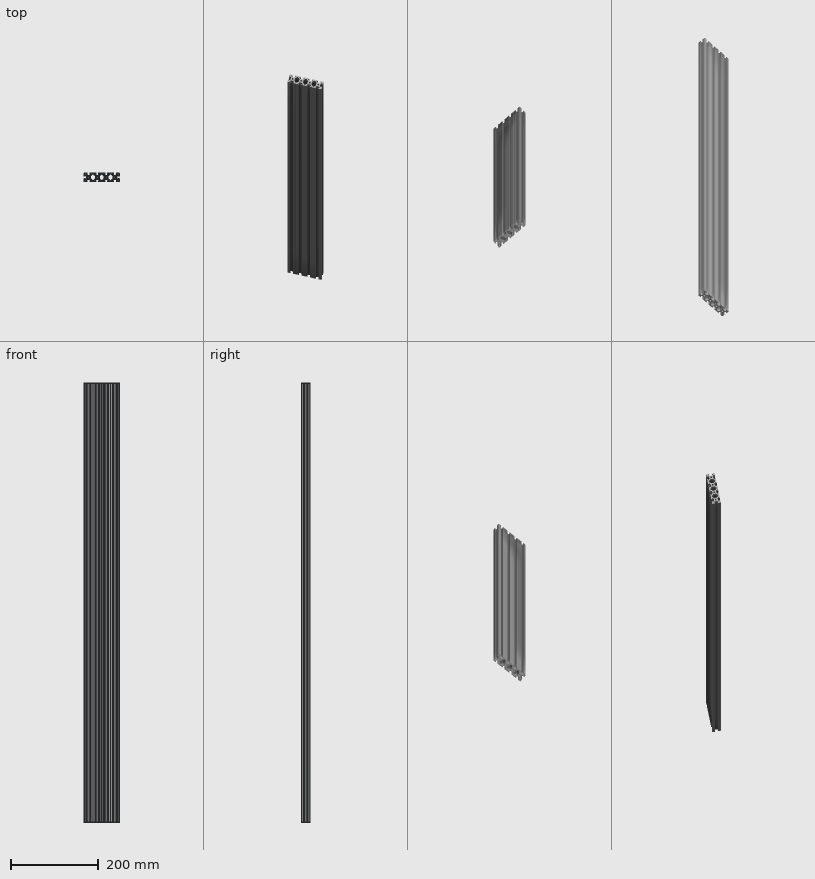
import cadquery as cq

CELL = 20.0
CELL_COUNT = 4
LENGTH = 1000.0
WIDTH = CELL * CELL_COUNT
HALF_CELL = CELL / 2
EDGE_RADIUS = 1.5
FLIP = 180.0
QUARTER_TURN = 90.0

MOUTH_WIDTH = 6.2
MOUTH_CHAMFER = 0.3
LIP_THICKNESS = 2.0
CAVITY_WIDTH = 11.0
SLOT_DEPTH = 5.5
FLOOR_WIDTH = 5.2
FLOOR_RADIUS = 2.0

BORE_DIAMETER = 4.2
WALL_THICKNESS = 2.8
WEB_THICKNESS = 2.5
CORE_WIDTH = 9.5

GROOVE_WIDTH = 0.8
GROOVE_DEPTH = 0.4

CELL_CENTRES = [(i - (CELL_COUNT - 1) / 2) * CELL for i in range(CELL_COUNT)]
CELL_JOINTS = [(i - CELL_COUNT / 2) * CELL for i in range(1, CELL_COUNT)]
SLOT_FLOOR = HALF_CELL - SLOT_DEPTH


def mirrored_prism(half_outline):
    """Full-length prism from the +X half of an outline symmetric about the Y axis."""
    other_half = [(-x, y) for x, y in reversed(half_outline) if x > 0]
    return cq.Workplane("XY").polyline(half_outline + other_half).close().extrude(LENGTH)


def make_bar():
    """Solid bar with rounded long edges."""
    bar = cq.Workplane("XY").box(WIDTH, CELL, LENGTH, centered=(True, True, False))
    return bar.edges("|Z").fillet(EDGE_RADIUS)


def make_slot():
    """T-slot cutter opening toward +Y, with 45 degree flanks rising from a rounded floor."""
    lip_inside = HALF_CELL - LIP_THICKNESS
    flank_top = SLOT_FLOOR + (CAVITY_WIDTH - FLOOR_WIDTH) / 2
    slot = mirrored_prism([
        (MOUTH_WIDTH / 2 + MOUTH_CHAMFER, HALF_CELL),
        (MOUTH_WIDTH / 2, HALF_CELL - MOUTH_CHAMFER),
        (MOUTH_WIDTH / 2, lip_inside),
        (CAVITY_WIDTH / 2, lip_inside),
        (CAVITY_WIDTH / 2, flank_top),
        (FLOOR_WIDTH / 2, SLOT_FLOOR),
    ])
    floor_corners = slot.faces("<Y").edges("|Z")
    return floor_corners.fillet(FLOOR_RADIUS)


def make_hollow():
    """Cutter for the hollow at a cell joint, its corners parallel to the slot flanks."""
    half_width = HALF_CELL - CORE_WIDTH / 2
    half_height = HALF_CELL - WALL_THICKNESS
    corner_sum = HALF_CELL - FLOOR_WIDTH / 2 + SLOT_FLOOR - WEB_THICKNESS * 2**0.5
    return mirrored_prism([
        (corner_sum - half_height, half_height),
        (half_width, corner_sum - half_width),
        (half_width, half_width - corner_sum),
        (corner_sum - half_height, -half_height),
    ])


def make_joint_grooves():
    """Pair of V-groove cutters on the +Y and -Y faces of a joint at the origin."""
    groove = mirrored_prism([
        (GROOVE_WIDTH / 2, HALF_CELL),
        (0, HALF_CELL - GROOVE_DEPTH),
    ])
    return groove.union(groove.rotate((0, 0, 0), (0, 0, 1), FLIP))


def make_bores():
    """Round bores along the centre of every cell."""
    centres = [(x, 0) for x in CELL_CENTRES]
    return cq.Workplane("XY").pushPoints(centres).circle(BORE_DIAMETER / 2).extrude(LENGTH)


def slot_at(x, turn):
    """Slot cutter for the cell at x, turned about the cell axis."""
    return make_slot().rotate((0, 0, 0), (0, 0, 1), turn).translate((x, 0, 0))


result = make_bar().cut(make_bores())
for centre in CELL_CENTRES:
    result = result.cut(slot_at(centre, 0)).cut(slot_at(centre, FLIP))
result = result.cut(slot_at(CELL_CENTRES[0], QUARTER_TURN)).cut(slot_at(CELL_CENTRES[-1], -QUARTER_TURN))
for joint in CELL_JOINTS:
    result = result.cut(make_hollow().translate((joint, 0, 0)))
    result = result.cut(make_joint_grooves().translate((joint, 0, 0)))